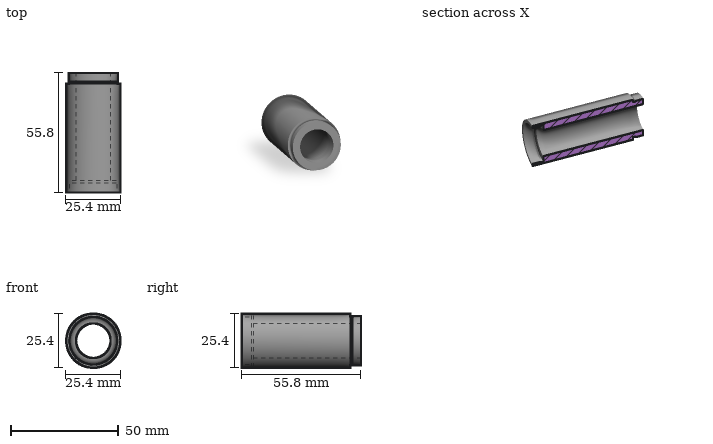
import cadquery as cq

length = 55.8
body_diameter = 25.4
bore_diameter = 16.0

spigot_diameter = 23.1
spigot_length = 4.0
groove_diameter = 22.3
groove_width = 1.0

socket_diameter = 22.2
socket_depth = 5.5
relief_diameter = 23.1
relief_width = 1.0

front_y = -length / 2
back_y = length / 2
spigot_y = back_y - spigot_length
shoulder_y = spigot_y - groove_width


def cylinder(diameter, start_y, end_y):
    """Solid cylinder on the Y axis between two Y positions."""
    plane = cq.Plane(origin=(0, start_y, 0), xDir=(1, 0, 0), normal=(0, 1, 0))
    return cq.Workplane(plane).circle(diameter / 2).extrude(end_y - start_y)


outside = (
    cylinder(body_diameter, front_y, shoulder_y)
    .union(cylinder(groove_diameter, shoulder_y, spigot_y))
    .union(cylinder(spigot_diameter, spigot_y, back_y))
)

socket_floor_y = front_y + socket_depth
inside = (
    cylinder(bore_diameter, front_y, back_y)
    .union(cylinder(socket_diameter, front_y, socket_floor_y))
    .union(cylinder(relief_diameter, socket_floor_y - relief_width, socket_floor_y))
)

result = outside.cut(inside)